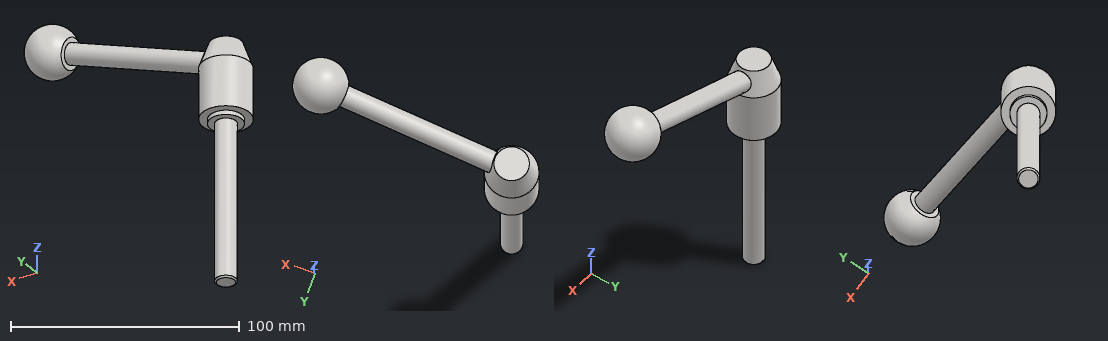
import cadquery as cq
import math

total_height = 155.0
stud_diameter = 10.0
stud_chamfer = 0.8
collar_diameter = 16.3
collar_bottom = 80.3
collar_height = 2.2
hub_diameter = 24.0
hub_straight_height = 25.7
hub_cone_height = 12.1
hub_top_diameter = 15.5
arm_diameter = 10.0
arm_angle = 20.0
ball_diameter = 25.0
ball_axis_offset = 88.3
ball_flat_distance = 10.0

hub_bottom = collar_bottom + collar_height
cone_bottom = hub_bottom + hub_straight_height
hub_top = cone_bottom + hub_cone_height
ball_center = cq.Vector(ball_axis_offset, 0, total_height - ball_diameter / 2)
arm_direction = cq.Vector(math.cos(math.radians(arm_angle)), 0, math.sin(math.radians(arm_angle)))


def make_body():
    """Chamfered stud, collar and conical-topped hub, turned about the Z axis."""
    stud_radius = stud_diameter / 2
    profile = [
        (0, 0),
        (stud_radius - stud_chamfer, 0),
        (stud_radius, stud_chamfer),
        (stud_radius, collar_bottom),
        (collar_diameter / 2, collar_bottom),
        (collar_diameter / 2, hub_bottom),
        (hub_diameter / 2, hub_bottom),
        (hub_diameter / 2, cone_bottom),
        (hub_top_diameter / 2, hub_top),
        (0, hub_top),
    ]
    return cq.Workplane("XZ").polyline(profile).close().revolve(360, (0, 0), (0, 1))


def make_arm():
    """Round arm from the hub axis to the ball centre."""
    length = ball_axis_offset / arm_direction.x
    start = ball_center - arm_direction * length
    plane = cq.Plane(origin=start, xDir=(0, 1, 0), normal=arm_direction)
    return cq.Workplane(plane).circle(arm_diameter / 2).extrude(length)


def make_ball():
    """Ball with a flat, square to the arm, where the arm enters."""
    ball = cq.Workplane("XY").sphere(ball_diameter / 2).translate(ball_center)
    flat_center = ball_center - arm_direction * ball_flat_distance
    plane = cq.Plane(origin=flat_center, xDir=(0, 1, 0), normal=arm_direction)
    kept_side = cq.Workplane(plane).rect(2 * ball_diameter, 2 * ball_diameter).extrude(2 * ball_diameter)
    return ball.intersect(kept_side)


result = make_body().union(make_arm()).union(make_ball())